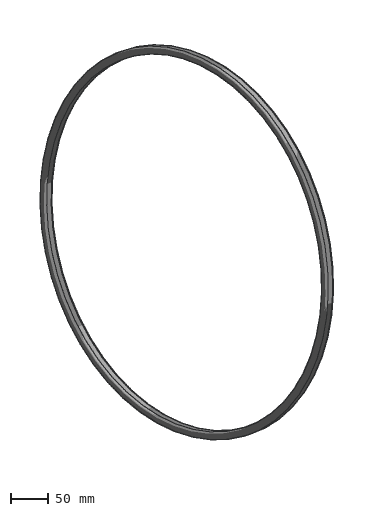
import cadquery as cq
import math

pitch_diameter = 533.4
section_thickness = 11.11
section_height = 15.88
end_flat_width = 7.94
bevel_angle = 23
corner_radius = 1.59

pitch_radius = pitch_diameter / 2
half_thickness = section_thickness / 2
half_height = section_height / 2
half_end_flat = end_flat_width / 2
bevel_depth = half_thickness - half_end_flat
bevel_height = bevel_depth / math.tan(math.radians(bevel_angle))
half_band = half_height - bevel_height


def make_section():
    """Octagon, in Y and radial offset, with the corners of its end faces rounded."""
    outline = [
        (half_height, -half_end_flat),
        (half_height, half_end_flat),
        (half_band, half_thickness),
        (-half_band, half_thickness),
        (-half_height, half_end_flat),
        (-half_height, -half_end_flat),
        (-half_band, -half_thickness),
        (half_band, -half_thickness),
    ]
    octagon = cq.Sketch().polygon(outline + outline[:1])
    return octagon.vertices("<X or >X").fillet(corner_radius).reset()


def make_ring():
    """Section set at the pitch radius and revolved around the Y axis."""
    axis_start = (0, -pitch_radius, 0)
    axis_end = (1, -pitch_radius, 0)
    section_plane = cq.Workplane("YZ").center(0, pitch_radius)
    return section_plane.placeSketch(make_section()).revolve(360, axis_start, axis_end)


result = make_ring()